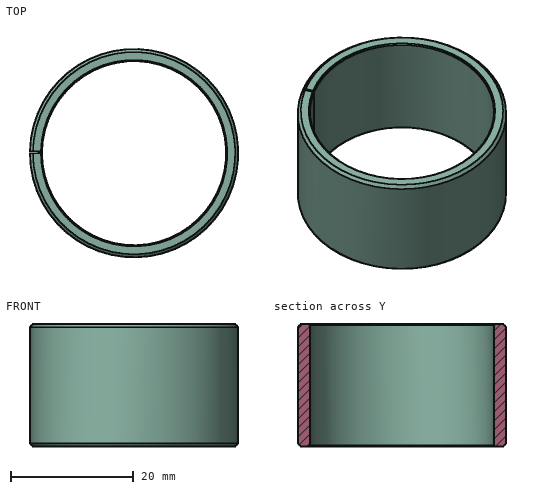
import cadquery as cq

outer_diameter = 34.0
bore_diameter = 30.0
height = 20.0
outer_chamfer = 0.5
bore_chamfer = 0.2
slit_angle = 1.0

outer_radius = outer_diameter / 2
bore_radius = bore_diameter / 2
half_height = height / 2


def make_wall_section():
    """Wall section on the -X side, chamfered at all four corners."""
    return (
        cq.Workplane("XZ")
        .moveTo(-bore_radius - bore_chamfer, -half_height)
        .lineTo(-outer_radius + outer_chamfer, -half_height)
        .lineTo(-outer_radius, -half_height + outer_chamfer)
        .lineTo(-outer_radius, half_height - outer_chamfer)
        .lineTo(-outer_radius + outer_chamfer, half_height)
        .lineTo(-bore_radius - bore_chamfer, half_height)
        .lineTo(-bore_radius, half_height - bore_chamfer)
        .lineTo(-bore_radius, -half_height + bore_chamfer)
        .close()
    )


result = make_wall_section().revolve(360 - slit_angle, (0, 0, 0), (0, 1, 0))